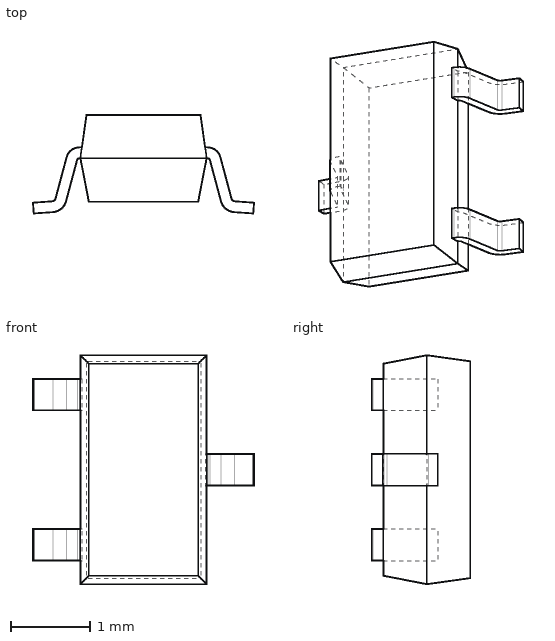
import cadquery as cq
import math


housing_width = 1.6
housing_height = 2.9
housing_depth = 1.1
standoff = 0.15
half_depth = housing_depth / 2
parting_y = standoff + half_depth
front_draft = 11.0
back_draft = 8.0

lead_span = 2.8
lead_width = 0.4
lead_pitch = 1.9
lead_thickness = 0.14
shoulder_inner_radius = 0.03
shoulder_outer_radius = shoulder_inner_radius + lead_thickness
heel_inner_radius = 0.05
heel_outer_radius = heel_inner_radius + lead_thickness
leg_angle = math.radians(75)
foot_angle = math.radians(4)
lead_top_y = parting_y + lead_thickness
root_gap = 0.01
bend_start_x = housing_width / 2 + root_gap
root_overrun = 0.1
root_x = housing_width / 2 - root_overrun

half_thickness = lead_thickness / 2
shoulder_radius = shoulder_inner_radius + half_thickness
heel_radius = heel_inner_radius + half_thickness
straight_run = (
    lead_span / 2 - bend_start_x
    - half_thickness * math.sin(foot_angle)
    - shoulder_radius * math.sin(leg_angle)
    - heel_radius * (math.sin(leg_angle) - math.sin(foot_angle))
)
straight_drop = (
    lead_top_y - half_thickness
    - half_thickness * math.cos(foot_angle)
    - shoulder_radius * (1 - math.cos(leg_angle))
    - heel_radius * (math.cos(foot_angle) - math.cos(leg_angle))
)
angle_change = math.sin(leg_angle - foot_angle)
leg_length = (
    straight_drop * math.cos(foot_angle) - straight_run * math.sin(foot_angle)
) / angle_change
foot_length = (
    straight_run * math.sin(leg_angle) - straight_drop * math.cos(leg_angle)
) / angle_change


def make_housing_half(direction, draft):
    """Block from the parting plane along Y (+1 or -1), narrowing away from that plane."""
    parting_plane = cq.Plane(origin=(0, parting_y, 0), xDir=(1, 0, 0), normal=(0, direction, 0))
    outline = cq.Workplane(parting_plane).rect(housing_width, housing_height)
    return outline.extrude(half_depth, taper=draft)


def make_housing():
    """Two tapered halves that meet at the widest outline, on the parting plane."""
    return make_housing_half(-1, front_draft).union(make_housing_half(1, back_draft))


def point_at(center, radius, angle):
    """Point on a circle, with the angle measured from +Y towards +X."""
    return (center[0] + radius * math.sin(angle), center[1] + radius * math.cos(angle))


def step(point, length, slope):
    """Point reached by going outward (+X) and down (-Y) along a slope."""
    return (point[0] + length * math.cos(slope), point[1] - length * math.sin(slope))


def make_lead(housing):
    """Gull-wing lead on the +X side, centred on Z = 0, its root flush with the housing."""
    shoulder = (bend_start_x, lead_top_y - shoulder_outer_radius)
    knee_outer = point_at(shoulder, shoulder_outer_radius, leg_angle)
    knee_inner = point_at(shoulder, shoulder_inner_radius, leg_angle)
    leg_end_outer = step(knee_outer, leg_length, leg_angle)
    leg_end_inner = step(knee_inner, leg_length, leg_angle)

    heel = point_at(leg_end_outer, heel_inner_radius, leg_angle)
    heel_middle = math.pi + (leg_angle + foot_angle) / 2
    foot_top = point_at(heel, heel_inner_radius, math.pi + foot_angle)
    foot_bottom = point_at(heel, heel_outer_radius, math.pi + foot_angle)

    profile = (
        cq.Workplane("XY")
        .moveTo(root_x, lead_top_y)
        .lineTo(bend_start_x, lead_top_y)
        .threePointArc(point_at(shoulder, shoulder_outer_radius, leg_angle / 2), knee_outer)
        .lineTo(*leg_end_outer)
        .threePointArc(point_at(heel, heel_inner_radius, heel_middle), foot_top)
        .lineTo(*step(foot_top, foot_length, foot_angle))
        .lineTo(*step(foot_bottom, foot_length, foot_angle))
        .lineTo(*foot_bottom)
        .threePointArc(point_at(heel, heel_outer_radius, heel_middle), leg_end_inner)
        .lineTo(*knee_inner)
        .threePointArc(
            point_at(shoulder, shoulder_inner_radius, leg_angle / 2),
            (bend_start_x, lead_top_y - lead_thickness),
        )
        .lineTo(root_x, lead_top_y - lead_thickness)
        .close()
    )
    return profile.extrude(lead_width / 2, both=True).cut(housing)


housing = make_housing()

right_lead = make_lead(housing)
left_lead = right_lead.mirror("YZ")
leads = [right_lead]
for side in (-1, 1):
    leads.append(left_lead.translate((0, 0, side * lead_pitch / 2)))

result = cq.Compound.makeCompound([housing.val(), *[lead.val() for lead in leads]])